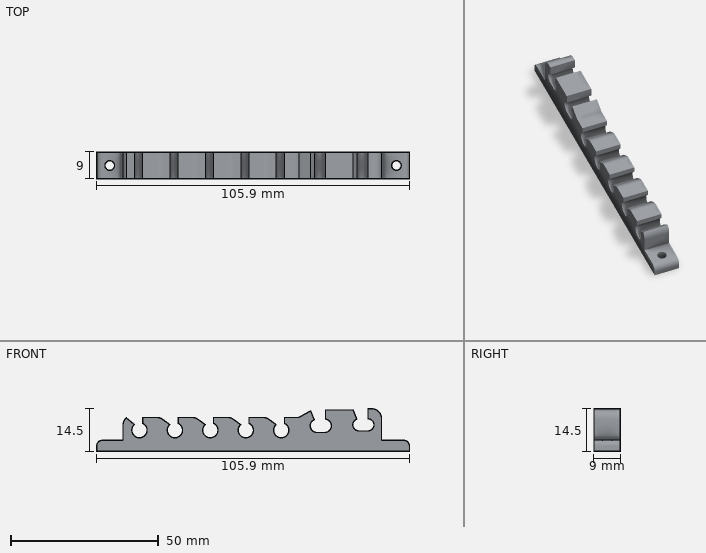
import cadquery as cq
import math

length = 105.9
width = 9.0
tab_height = 3.8
tab_round = 2.0
screw_hole_diameter = 3.2
screw_hole_inset = 4.4

body_left = 8.9
body_right = 96.5
left_corner_width = 1.2
left_corner_drop = 2.5
left_ramp_angle = 40.0
end_hook_height = 14.5
end_hook_round = 3.5

socket_count = 5
first_socket_x = 14.5
last_socket_x = 62.5
socket_pitch = (last_socket_x - first_socket_x) / (socket_count - 1)
socket_z = 7.2
socket_radius = 2.5
tooth_height = 11.5
mouth_wall_offset = 1.1
lip_offset = 1.7
ramp_angle = 36.0
ramp_round = 3.4

wide_crest_start_x = 68.4
wide_crest_x = 72.4
wide_crest_height = 13.8
wide_block_height = 14.1
wide_block_right = 86.8
wide_socket_width = 7.1
lip_inset = 1.4
mouth_wall_inset = 5.1
deep_socket_left = 72.3
deep_socket_z = 8.7
deep_socket_radius = 2.2
shallow_socket_left = 86.7
shallow_socket_z = 9.0
shallow_socket_radius = 2.0


def arc_height(offset, radius):
    """Height above a circle's centre at a sideways offset from it."""
    return math.sqrt(radius**2 - offset**2)


def round_point(center_x, center_z, radius, degrees):
    """Point on a circle, measured counterclockwise from +X."""
    angle = math.radians(degrees)
    return (center_x + radius * math.cos(angle), center_z + radius * math.sin(angle))


def add_ramp(path, lip_x, lip_z):
    """Follow a tooth top, its rounded shoulder and the slope down to the lip."""
    corner_x = lip_x - (tooth_height - lip_z) / math.tan(math.radians(ramp_angle))
    round_start_x = corner_x - ramp_round * math.tan(math.radians(ramp_angle / 2))
    round_center_z = tooth_height - ramp_round
    middle = round_point(round_start_x, round_center_z, ramp_round, 90 - ramp_angle / 2)
    end = round_point(round_start_x, round_center_z, ramp_round, 90 - ramp_angle)
    path = path.lineTo(round_start_x, tooth_height)
    return path.threePointArc(middle, end).lineTo(lip_x, lip_z)


def add_socket(path, center_x):
    """Go from the lip round the bottom of a socket and up its mouth wall."""
    wall_x = center_x + mouth_wall_offset
    wall_z = socket_z + arc_height(mouth_wall_offset, socket_radius)
    path = path.threePointArc((center_x, socket_z - socket_radius), (wall_x, wall_z))
    return path.lineTo(wall_x, tooth_height)


def add_wide_socket(path, left, center_z, radius, wall_top):
    """Go from a lip round a flat-bottomed socket and up its mouth wall."""
    right = left + wide_socket_width
    lip_x = left + lip_inset
    wall_x = left + mouth_wall_inset
    left_center = left + radius
    right_center = right - radius
    lip_z = center_z + arc_height(lip_x - left_center, radius)
    wall_z = center_z + arc_height(wall_x - right_center, radius)
    bottom = center_z - radius
    path = path.lineTo(lip_x, lip_z)
    path = path.threePointArc((left, center_z), (left_center, bottom))
    path = path.lineTo(right_center, bottom)
    path = path.threePointArc((right, center_z), (wall_x, wall_z))
    return path.lineTo(wall_x, wall_top)


def make_profile():
    """Closed side outline of the clip rail."""
    lip_z = socket_z + arc_height(lip_offset, socket_radius)
    left_corner_x = body_left + left_corner_width
    first_lip_x = first_socket_x - lip_offset
    left_tip_z = lip_z + (first_lip_x - left_corner_x) * math.tan(math.radians(left_ramp_angle))
    tab_center_z = tab_height - tab_round

    path = cq.Workplane("XZ").lineTo(0, tab_center_z)
    path = path.threePointArc(
        round_point(tab_round, tab_center_z, tab_round, 135), (tab_round, tab_height))
    path = path.lineTo(body_left, tab_height)
    path = path.lineTo(body_left, left_tip_z - left_corner_drop)
    path = path.tangentArcPoint((left_corner_x, left_tip_z), relative=False)

    for index in range(socket_count):
        center_x = first_socket_x + index * socket_pitch
        lip_x = center_x - lip_offset
        if index == 0:
            path = path.lineTo(lip_x, lip_z)
        else:
            path = add_ramp(path, lip_x, lip_z)
        path = add_socket(path, center_x)

    path = path.lineTo(wide_crest_start_x, tooth_height)
    path = path.lineTo(wide_crest_x, wide_crest_height)
    path = add_wide_socket(path, deep_socket_left, deep_socket_z, deep_socket_radius, wide_block_height)
    path = path.lineTo(wide_block_right, wide_block_height)
    path = add_wide_socket(
        path, shallow_socket_left, shallow_socket_z, shallow_socket_radius, end_hook_height)

    hook_center_x = body_right - end_hook_round
    hook_center_z = end_hook_height - end_hook_round
    path = path.lineTo(hook_center_x, end_hook_height)
    path = path.threePointArc(
        round_point(hook_center_x, hook_center_z, end_hook_round, 45),
        (body_right, hook_center_z))
    path = path.lineTo(body_right, tab_height).lineTo(length - tab_round, tab_height)
    path = path.threePointArc(
        round_point(length - tab_round, tab_center_z, tab_round, 45), (length, tab_center_z))
    return path.lineTo(length, 0).close()


rail = make_profile().extrude(width / 2, both=True)

hole_centers = [(screw_hole_inset, 0), (length - screw_hole_inset, 0)]
screw_holes = (
    cq.Workplane("XY").pushPoints(hole_centers).circle(screw_hole_diameter / 2).extrude(tab_height)
)
result = rail.cut(screw_holes)